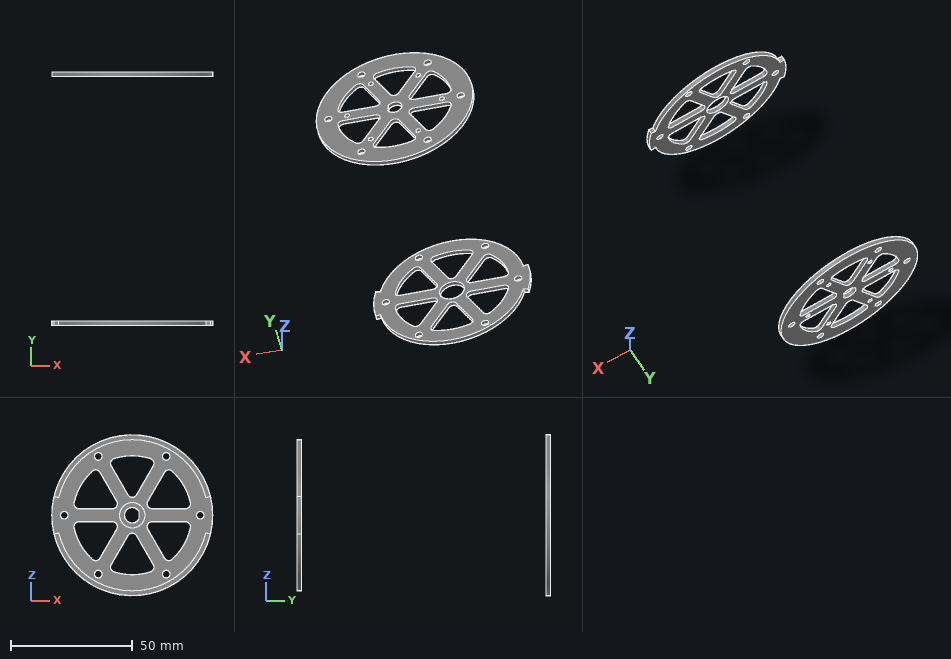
import cadquery as cq
import math

overall_length = 104.0
plate_thickness = 2.0
wheel_diameter = 66.0
wheel_radius = wheel_diameter / 2

spoke_count = 6
spoke_angle = 360.0 / spoke_count
spoke_width = 5.4
window_outer_radius = 24.3
window_corner_radius = 2.0

bolt_circle_radius = 27.9
bolt_hole_diameter = 3.0

bore_radius = 3.1
bore_flat_offset = 2.7
spoke_hole_circle_radius = 20.0
spoke_hole_diameter = 2.0

front_plate_radius = 31.0
front_bore_radius = 5.2
tab_half_angle = 13.5

front_plate_face_y = 0.0
back_plate_face_y = overall_length - plate_thickness


def polar_point(radius, angle):
    """Point at a radius and an angle in degrees from +X."""
    return (radius * math.cos(math.radians(angle)), radius * math.sin(math.radians(angle)))


def plate_plane(face_y):
    """XZ sketch plane on the +Y face of a plate, so that extruding runs toward -Y."""
    return cq.Workplane("XZ", origin=(0, face_y + plate_thickness, 0))


def disc(face_y, radius):
    return plate_plane(face_y).circle(radius).extrude(plate_thickness)


def spoke_windows(face_y):
    """Rounded triangular windows between the spokes, bounded outside by an arc."""
    half_angle = spoke_angle / 2
    half_width = spoke_width / 2
    apex_radius = half_width / math.sin(math.radians(half_angle))
    edge_angle = math.degrees(math.asin(half_width / window_outer_radius))
    window = (
        plate_plane(face_y)
        .moveTo(*polar_point(apex_radius, half_angle))
        .lineTo(*polar_point(window_outer_radius, edge_angle))
        .threePointArc(
            polar_point(window_outer_radius, half_angle),
            polar_point(window_outer_radius, spoke_angle - edge_angle),
        )
        .close()
        .extrude(plate_thickness)
        .edges("|Y")
        .fillet(window_corner_radius)
    )
    windows = cq.Workplane("XZ")
    for index in range(spoke_count):
        windows = windows.add(window.rotate((0, 0, 0), (0, 1, 0), index * spoke_angle))
    return windows.combine()


def hole_ring(face_y, circle_radius, diameter):
    """Through holes centred on the spoke lines."""
    return (
        plate_plane(face_y)
        .polarArray(circle_radius, 0, 360, spoke_count)
        .circle(diameter / 2)
        .extrude(plate_thickness)
    )


def d_bore(face_y):
    """Shaft hole with a flat on its +X side."""
    flat_half_height = math.sqrt(bore_radius**2 - bore_flat_offset**2)
    return (
        plate_plane(face_y)
        .moveTo(bore_flat_offset, flat_half_height)
        .threePointArc((-bore_radius, 0), (bore_flat_offset, -flat_half_height))
        .close()
        .extrude(plate_thickness)
    )


def side_tab(face_y, direction):
    """Sector from the axis to the tab's outer arc, centred on a direction in degrees."""
    return (
        plate_plane(face_y)
        .lineTo(*polar_point(wheel_radius, direction - tab_half_angle))
        .threePointArc(
            polar_point(wheel_radius, direction),
            polar_point(wheel_radius, direction + tab_half_angle),
        )
        .close()
        .extrude(plate_thickness)
    )


def make_front_plate(face_y):
    plate = disc(face_y, front_plate_radius)
    for direction in (0, 180):
        plate = plate.union(side_tab(face_y, direction))
    return (
        plate.cut(disc(face_y, front_bore_radius))
        .cut(spoke_windows(face_y))
        .cut(hole_ring(face_y, bolt_circle_radius, bolt_hole_diameter))
    )


def make_back_plate(face_y):
    return (
        disc(face_y, wheel_radius)
        .cut(d_bore(face_y))
        .cut(spoke_windows(face_y))
        .cut(hole_ring(face_y, bolt_circle_radius, bolt_hole_diameter))
        .cut(hole_ring(face_y, spoke_hole_circle_radius, spoke_hole_diameter))
    )


front_plate = make_front_plate(front_plate_face_y)
back_plate = make_back_plate(back_plate_face_y)

result = cq.Compound.makeCompound([front_plate.val(), back_plate.val()])